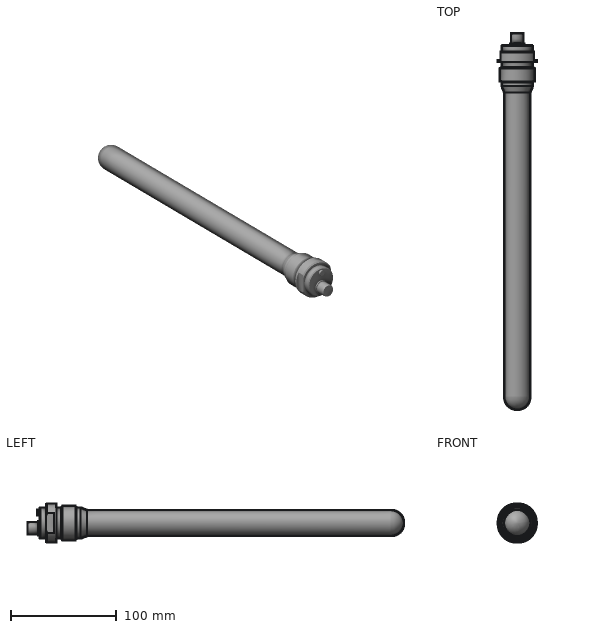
import cadquery as cq
import math

total_length = 356.0

tube_radius = 25.0 / 2
tip_flat_radius = 1.0 / 2

body_radius = 29.5 / 2
body_start = 11.5
body_chamfer = 0.9
flange_radius = 37.0 / 2
flange_start = 17.5
flange_end = 27.5
flange_chamfer = 1.0
nut_radius = 33.0 / 2
nut_cone_start = 32.0
nut_start = 33.5
nut_end = 45.5
shoulder_radius = 30.0 / 2
shoulder_end = 46.5
collar_end = 50.2
taper_end = 56.2

flat_distance = 16.0
flat_end = 25.3

connector_radius = 12.0 / 2
connector_z = -5.0
connector_chamfer_depth = 0.5
connector_chamfer_length = 1.8
seat_radius = 13.5 / 2
seat_start = 10.0
pin_radius = 5.5 / 2
pin_start = 9.3
pin_z = 10.0


def make_housing_and_tube():
    """Revolve the half profile, drawn as (radius, Y), about the Y axis."""
    dome_start = total_length - tube_radius
    dome_middle = tube_radius * math.sqrt(0.5)
    profile = (
        cq.Workplane("XY")
        .moveTo(0, -body_start)
        .lineTo(body_radius - body_chamfer, -body_start)
        .lineTo(body_radius, -body_start - body_chamfer)
        .lineTo(body_radius, -flange_start)
        .lineTo(flange_radius - flange_chamfer, -flange_start)
        .lineTo(flange_radius, -flange_start - flange_chamfer)
        .lineTo(flange_radius, -flange_end)
        .lineTo(body_radius, -flange_end)
        .lineTo(body_radius, -nut_cone_start)
        .lineTo(nut_radius, -nut_start)
        .lineTo(nut_radius, -nut_end)
        .lineTo(shoulder_radius, -nut_end)
        .lineTo(shoulder_radius, -shoulder_end)
        .lineTo(body_radius, -shoulder_end)
        .lineTo(body_radius, -collar_end)
        .lineTo(tube_radius, -taper_end)
        .lineTo(tube_radius, -dome_start)
        .threePointArc((dome_middle, -dome_start - dome_middle), (tip_flat_radius, -total_length))
        .lineTo(0, -total_length)
        .close()
    )
    return profile.revolve(360, (0, 0, 0), (0, 1, 0))


def make_flat_cutter(side):
    """Block that trims the flange on one X side, leaving a thin full rim."""
    return cq.Workplane("XY").box(
        flange_radius, flat_end - flange_start, 2 * flange_radius
    ).translate((side * (flat_distance + flange_radius / 2), -(flange_start + flat_end) / 2, 0))


def make_rod(radius, start, z):
    """Cylinder along Y from its free end into the face of the housing."""
    return (
        cq.Workplane("XZ", origin=(0, -start, z))
        .circle(radius)
        .extrude(flange_start - start)
    )


result = make_housing_and_tube()
for side in (-1, 1):
    result = result.cut(make_flat_cutter(side))

connector = make_rod(connector_radius, 0, connector_z)
connector = connector.faces(">Y").chamfer(connector_chamfer_length, connector_chamfer_depth)
result = result.union(connector)
result = result.union(make_rod(seat_radius, seat_start, connector_z))
result = result.union(make_rod(pin_radius, pin_start, pin_z))